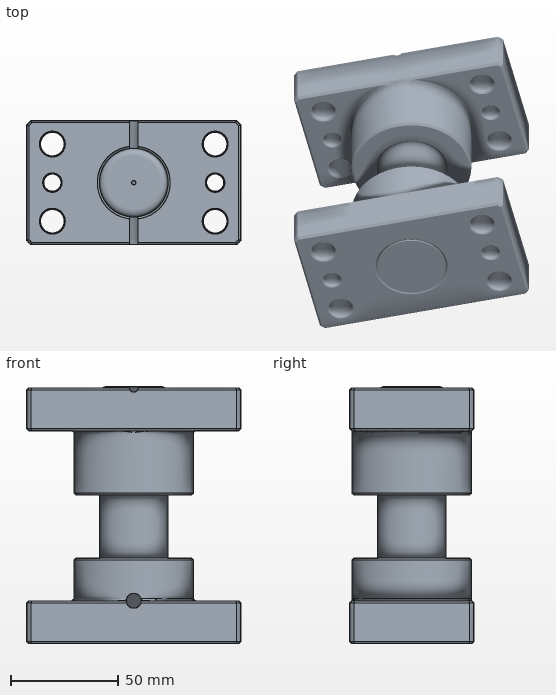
import cadquery as cq

PIN_LENGTH = 120.0
PIN_PROJECTION = 0.6
PIN_RADIUS = 32.0 / 2
PIN_NOSE_RADIUS = 3.5
CENTRE_MARK_RADIUS = 1.0
CENTRE_MARK_DEPTH = 1.0

PLATE_LENGTH = 100.0
PLATE_WIDTH = 58.0
PLATE_THICKNESS = 20.0
EDGE_CHAMFER = 1.0
CORNER_CHAMFER = 2.0

BOSS_RADIUS = 55.9 / 2
BASE_HEIGHT = 40.0
GUIDE_HEIGHT = 50.0
ROOT_FILLET = 1.0

SCREW_RADIUS = 11.0 / 2
DOWEL_RADIUS = 8.0 / 2
HOLE_SPACING_X = 76.0
SCREW_SPACING_Y = 36.0
HOLE_CHAMFER = 0.5

CROSS_HOLE_RADIUS = 7.0 / 2
GROOVE_RADIUS = 4.0 / 2

GUIDE_TOP = PIN_LENGTH - PIN_PROJECTION


def chamfered_bore(radius, depth, chamfer):
    """Cutter for a through hole from z = 0 to depth with both mouths chamfered."""
    mouth = radius + chamfer
    return (
        cq.Workplane("XZ")
        .moveTo(0, 0)
        .lineTo(mouth, 0)
        .lineTo(radius, chamfer)
        .lineTo(radius, depth - chamfer)
        .lineTo(mouth, depth)
        .lineTo(0, depth)
        .close()
        .revolve(360, (0, 0, 0), (0, 1, 0))
    )


def flange_plate():
    """Plate resting on z = 0 with chamfered corners, screw holes and dowel holes."""
    plate = (
        cq.Workplane("XY")
        .box(PLATE_LENGTH, PLATE_WIDTH, PLATE_THICKNESS, centered=(True, True, False))
        .edges("|Z")
        .chamfer(CORNER_CHAMFER)
        .faces("<Z or >Z")
        .chamfer(EDGE_CHAMFER)
    )
    screw_hole = chamfered_bore(SCREW_RADIUS, PLATE_THICKNESS, HOLE_CHAMFER)
    dowel_hole = chamfered_bore(DOWEL_RADIUS, PLATE_THICKNESS, HOLE_CHAMFER)
    for x in (-HOLE_SPACING_X / 2, HOLE_SPACING_X / 2):
        plate = plate.cut(dowel_hole.translate((x, 0, 0)))
        for y in (-SCREW_SPACING_Y / 2, SCREW_SPACING_Y / 2):
            plate = plate.cut(screw_hole.translate((x, y, 0)))
    return plate


def boss(height):
    """Round boss reaching z = height, with a chamfered rim."""
    return (
        cq.Workplane("XY")
        .circle(BOSS_RADIUS)
        .extrude(height)
        .faces(">Z")
        .edges()
        .chamfer(EDGE_CHAMFER)
    )


def root_fillet():
    """Concave fillet ring at the foot of the boss, kept within the flat top of the plate."""
    inner = BOSS_RADIUS - ROOT_FILLET
    ring = (
        cq.Workplane("XZ")
        .moveTo(inner, PLATE_THICKNESS)
        .lineTo(BOSS_RADIUS + ROOT_FILLET, PLATE_THICKNESS)
        .radiusArc((BOSS_RADIUS, PLATE_THICKNESS + ROOT_FILLET), ROOT_FILLET)
        .lineTo(inner, PLATE_THICKNESS + ROOT_FILLET)
        .close()
        .revolve(360, (0, 0, 0), (0, 1, 0))
    )
    flat_width = PLATE_WIDTH - 2 * EDGE_CHAMFER
    flat_top = cq.Workplane("XY").box(PLATE_LENGTH, flat_width, 2 * BASE_HEIGHT)
    return ring.intersect(flat_top)


def bossed_block(height):
    """Plate and boss in one piece, bored along Z for the pin."""
    bore = chamfered_bore(PIN_RADIUS, height, EDGE_CHAMFER)
    return flange_plate().union(boss(height)).union(root_fillet()).cut(bore)


def base_block():
    """Lower block with a cross hole from the -Y side into the bore."""
    cross_hole = (
        cq.Workplane("XZ")
        .circle(CROSS_HOLE_RADIUS)
        .extrude(PLATE_WIDTH)
        .rotate((0, 0, 0), (0, 1, 0), 90)
        .translate((0, 0, PLATE_THICKNESS))
    )
    return bossed_block(BASE_HEIGHT).cut(cross_hole)


def guide_block():
    """Upper block, boss downwards, with a vent groove along Y across its top face."""
    groove = (
        cq.Workplane("XZ")
        .circle(GROOVE_RADIUS)
        .extrude(PLATE_WIDTH, both=True)
        .rotate((0, 0, 0), (0, 1, 0), -90)
        .translate((0, 0, GUIDE_TOP))
    )
    block = bossed_block(GUIDE_HEIGHT).rotate((0, 0, 0), (1, 0, 0), 180)
    return block.translate((0, 0, GUIDE_TOP)).cut(groove)


def guide_pin():
    """Pin with a rounded upper end and a conical centre mark."""
    nose = (PIN_RADIUS - PIN_NOSE_RADIUS, PIN_LENGTH)
    return (
        cq.Workplane("XZ")
        .moveTo(0, 0)
        .lineTo(PIN_RADIUS, 0)
        .lineTo(PIN_RADIUS, PIN_LENGTH - PIN_NOSE_RADIUS)
        .radiusArc(nose, -PIN_NOSE_RADIUS)
        .lineTo(CENTRE_MARK_RADIUS, PIN_LENGTH)
        .lineTo(0, PIN_LENGTH - CENTRE_MARK_DEPTH)
        .close()
        .revolve(360, (0, 0, 0), (0, 1, 0))
    )


base = base_block()
guide = guide_block()
pin = guide_pin()

result = cq.Compound.makeCompound([base.val(), guide.val(), pin.val()])